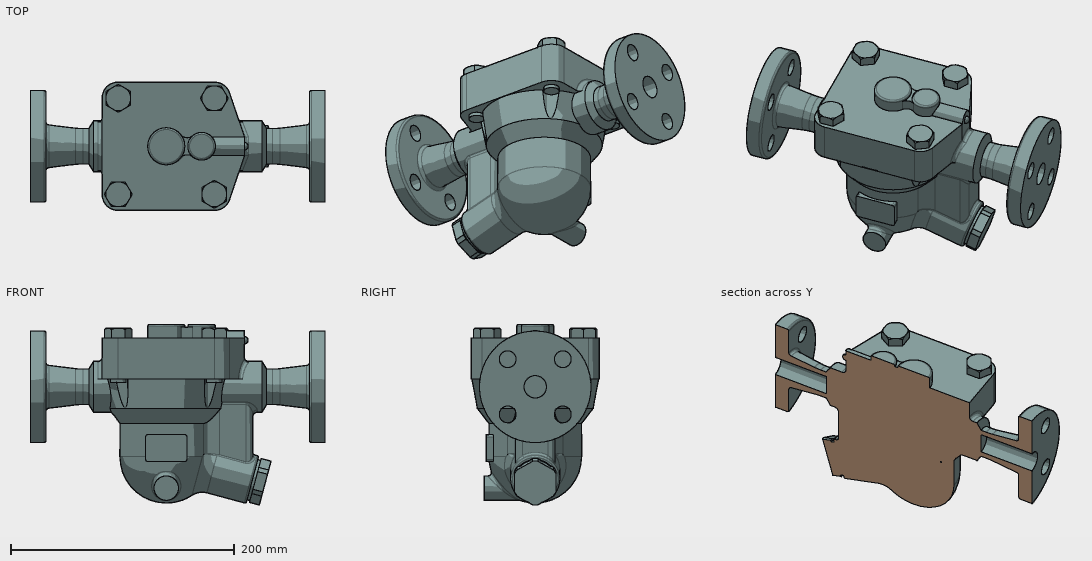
import cadquery as cq
import math

overall_length = 264.0
pipe_mid_x = 10.3

flange_d = 100.0
flange_t = 14.0
flange_edge_r = 1.8
bolt_hole_d = 15.0
bolt_circle_d = 70.0
bore_d = 20.0

neck_d = 32.0
neck_big_r = 19.3
neck_root_r = 2.6
neck_cone_l = 23.8
neck_blend_l = 6.5
neck_cylinder_l = 5.3
neck_blend_rise = 0.4
shoulder_l = 4.2
boss_d = 46.0
boss_root_r = 3.7

cover_half = 57.5
cover_corner_r = 14.3
cover_top = 43.8
body_flange_bottom = 7.0
nose_x = 70.0
nose_half = 9.0

bolt_pitch = 86.0
bolt_head_af = 21.6
bolt_head_h = 8.7
bolt_crown = 1.3
bolt_shank_d = 14.0
bolt_end_l = 3.2
scallop_r = 8.7

cap_d = 33.3
small_cap_d = 24.8
small_cap_x = 31.7
cap_h = 12.1
cap_edge_r = 1.5
web_side_r = 7.5
web_h = 9.8
channel_r = 8.7
channel_h = 6.5
nub_r = 3.5

bowl_top_r = 57.0
bowl_mid_r = 52.0
bowl_mid_z = -19.3
bowl_r = 41.7
bowl_neck_z = -32.7
dome_z = -62.5

branch_d = 44.0
branch_tilt = 15.0
branch_reach = 80.0
branch_edge_r = 1.5
branch_root_r = 16.5
plug_af = 37.5
plug_d = 41.0
plug_neck_l = 2.6
plug_t = 9.2

rib_end_x = 77.5
rib_half = 17.7
rib_corner_r = 6.3
rib_flat_start_x = 47.5
rib_bottom_offset = 8.0
rib_foot_r = 2.5
rib_boss_r = 4.0

pad_w = 37.0
pad_top = -42.8
pad_bottom = -67.0
pad_face_y = -44.0
pad_corner_r = 2.0

drain_d = 22.0
drain_z = -90.8
drain_face_y = -46.0
drain_root_r = 3.2


def make_bowl():
    return (
        cq.Workplane("XZ")
        .moveTo(0, body_flange_bottom)
        .lineTo(bowl_top_r, body_flange_bottom)
        .lineTo(bowl_mid_r, bowl_mid_z)
        .lineTo(bowl_r, bowl_neck_z)
        .lineTo(bowl_r, dome_z)
        .radiusArc((0, dome_z - bowl_r), bowl_r)
        .close()
        .revolve(360, (0, 0), (0, 1))
    )


tilt = math.radians(branch_tilt)
branch_dir = cq.Vector(math.cos(tilt), 0, -math.sin(tilt))


def branch_plane(distance):
    """Workplane square to the branch axis; its local X is the part's Y."""
    centre = cq.Vector(0, 0, dome_z) + branch_dir * distance
    return cq.Workplane(cq.Plane(centre, (0, 1, 0), branch_dir))


def make_branch():
    tube = branch_plane(0).circle(branch_d / 2).extrude(branch_reach)
    tube = tube.faces(">X").edges().fillet(branch_edge_r)

    ring_r = branch_d / 2 + branch_root_r
    ring_at = math.sqrt((bowl_r + branch_root_r) ** 2 - ring_r**2)
    touch = bowl_r / (bowl_r + branch_root_r)
    root = (
        cq.Workplane(cq.Plane((0, 0, dome_z), branch_dir, (0, 1, 0)))
        .moveTo(0, 0)
        .lineTo(ring_at * touch, ring_r * touch)
        .radiusArc((ring_at, branch_d / 2), -branch_root_r)
        .lineTo(ring_at, 0)
        .close()
        .revolve(360, (0, 0), (1, 0))
    )
    return tube.union(root)


def make_plug():
    neck = branch_plane(branch_reach).circle(plug_af / 2).extrude(plug_neck_l)
    head = (
        branch_plane(branch_reach + plug_neck_l)
        .polygon(6, plug_af, circumscribed=True)
        .extrude(plug_t)
    )
    trim = branch_plane(branch_reach + plug_neck_l).circle(plug_d / 2).extrude(plug_t)
    return neck.union(head.intersect(trim))


def make_rib():
    """Vertical rib that flares tangentially out of the bowl."""
    flare_r = (rib_flat_start_x**2 + rib_half**2 - bowl_r**2) / (2 * (bowl_r - rib_half))
    touch = bowl_r / (bowl_r + flare_r)
    touch_x = rib_flat_start_x * touch
    touch_y = (rib_half + flare_r) * touch
    corner_x = rib_end_x - rib_corner_r
    corner_y = rib_half - rib_corner_r
    rib = (
        cq.Workplane("XY")
        .workplane(offset=dome_z - bowl_r)
        .moveTo(0, -touch_y)
        .lineTo(touch_x, -touch_y)
        .radiusArc((rib_flat_start_x, -rib_half), flare_r)
        .lineTo(corner_x, -rib_half)
        .radiusArc((rib_end_x, -corner_y), -rib_corner_r)
        .lineTo(rib_end_x, corner_y)
        .radiusArc((corner_x, rib_half), -rib_corner_r)
        .lineTo(rib_flat_start_x, rib_half)
        .radiusArc((touch_x, touch_y), flare_r)
        .lineTo(0, touch_y)
        .close()
        .extrude(bowl_r - dome_z)
    )
    up = cq.Vector(-branch_dir.z, 0, branch_dir.x)
    low_point = cq.Vector(0, 0, dome_z) + up * rib_bottom_offset
    keep = (
        cq.Workplane(cq.Plane(low_point, branch_dir, up))
        .rect(2 * overall_length, 4 * bowl_r)
        .extrude(overall_length)
    )
    return rib.intersect(keep)


half_length = overall_length / 2
flange_back = half_length - flange_t
neck_start = flange_back - neck_root_r
blend_start = neck_start - neck_cone_l
blend_end = blend_start - neck_blend_l
shoulder_start = blend_end - neck_cylinder_l
boss_end = shoulder_start - shoulder_l
bore_depth = half_length - shoulder_start


def make_pipe_end():
    """Outlet half with the pipe midpoint as origin, reaching back past the bowl axis."""
    neck_r = neck_d / 2
    blend_r = neck_r + neck_blend_rise
    return (
        cq.Workplane("XZ")
        .moveTo(-pipe_mid_x, 0)
        .lineTo(-pipe_mid_x, boss_d / 2)
        .lineTo(boss_end, boss_d / 2)
        .lineTo(shoulder_start, neck_r)
        .lineTo(blend_end, neck_r)
        .tangentArcPoint((blend_start, blend_r), relative=False)
        .lineTo(neck_start, neck_big_r)
        .radiusArc((flange_back, neck_big_r + neck_root_r), -neck_root_r)
        .lineTo(flange_back, flange_d / 2 - flange_edge_r)
        .radiusArc((flange_back + flange_edge_r, flange_d / 2), flange_edge_r)
        .lineTo(half_length, flange_d / 2)
        .lineTo(half_length, 0)
        .close()
        .revolve(360, (0, 0), (1, 0))
    )


def make_end_holes():
    face = cq.Workplane("YZ").workplane(offset=half_length)
    bore = face.circle(bore_d / 2).extrude(-bore_depth)
    bolts = (
        face.polarArray(bolt_circle_d / 2, 45, 360, 4)
        .circle(bolt_hole_d / 2)
        .extrude(-flange_t)
    )
    return bore.union(bolts)


def both_ends(outlet):
    """Add the mirrored inlet and move the pair to its place on the part."""
    return outlet.union(outlet.mirror("YZ")).translate((pipe_mid_x, 0, 0))


def make_flange_block():
    """Cover and body flange share one outline: a rounded square with a tapered nose."""
    centre = cover_half - cover_corner_r
    to_nose = math.hypot(nose_x - centre, nose_half - centre)
    taper = math.atan2(nose_half - centre, nose_x - centre) + math.acos(cover_corner_r / to_nose)
    tangent_x = centre + cover_corner_r * math.cos(taper)
    tangent_y = centre + cover_corner_r * math.sin(taper)
    return (
        cq.Workplane("XY")
        .workplane(offset=body_flange_bottom)
        .moveTo(-centre, -cover_half)
        .lineTo(centre, -cover_half)
        .radiusArc((tangent_x, -tangent_y), -cover_corner_r)
        .lineTo(nose_x, -nose_half)
        .lineTo(nose_x, nose_half)
        .lineTo(tangent_x, tangent_y)
        .radiusArc((centre, cover_half), -cover_corner_r)
        .lineTo(-centre, cover_half)
        .radiusArc((-cover_half, centre), -cover_corner_r)
        .lineTo(-cover_half, -centre)
        .radiusArc((-centre, -cover_half), -cover_corner_r)
        .close()
        .extrude(cover_top - body_flange_bottom)
    )


def make_bolts():
    """Hexagon bolts, each a quarter turn from the last, with shank ends below the flange."""
    corner_d = bolt_head_af / math.cos(math.radians(30))
    head = cq.Workplane("XY").workplane(offset=cover_top).polygon(6, corner_d).extrude(bolt_head_h)
    crown = (
        cq.Workplane("XY")
        .workplane(offset=cover_top)
        .circle(corner_d / 2)
        .extrude(bolt_head_h)
        .faces(">Z")
        .chamfer(bolt_crown)
    )
    shank = (
        cq.Workplane("XY")
        .workplane(offset=body_flange_bottom - bolt_end_l)
        .circle(bolt_shank_d / 2)
        .extrude(cover_top - body_flange_bottom + bolt_end_l)
    )
    bolt = head.intersect(crown).union(shank).translate((bolt_pitch / 2, bolt_pitch / 2, 0))
    return [bolt.rotate((0, 0, 0), (0, 0, 1), 90 * turn) for turn in range(4)]


def make_scallops():
    """Clearance round the shank ends, cut into the flank of the bowl."""
    return (
        cq.Workplane("XY")
        .workplane(offset=body_flange_bottom)
        .rect(bolt_pitch, bolt_pitch, forConstruction=True)
        .vertices()
        .circle(scallop_r)
        .extrude(bowl_neck_z - body_flange_bottom)
    )


def make_cap(x, diameter):
    base = cq.Workplane("XY").workplane(offset=cover_top).center(x, 0)
    cap = base.circle(diameter / 2).extrude(cap_h)
    return cap.faces(">Z").edges().fillet(cap_edge_r)


def make_cap_web():
    """Web between the caps; its hollow sides are arcs tangent to both caps."""
    cap_r = cap_d / 2
    small_r = small_cap_d / 2
    side_x = ((cap_r + web_side_r) ** 2 - (small_r + web_side_r) ** 2 + small_cap_x**2) / (2 * small_cap_x)
    side_y = math.sqrt((cap_r + web_side_r) ** 2 - side_x**2)
    near = cap_r / (cap_r + web_side_r)
    far = small_r / (small_r + web_side_r)
    near_x, near_y = side_x * near, side_y * near
    far_x, far_y = small_cap_x + (side_x - small_cap_x) * far, side_y * far
    return (
        cq.Workplane("XY")
        .workplane(offset=cover_top)
        .moveTo(0, -near_y)
        .lineTo(near_x, -near_y)
        .radiusArc((far_x, -far_y), web_side_r)
        .lineTo(small_cap_x, -far_y)
        .lineTo(small_cap_x, far_y)
        .lineTo(far_x, far_y)
        .radiusArc((near_x, near_y), web_side_r)
        .lineTo(0, near_y)
        .close()
        .extrude(web_h)
    )


def make_cover_top():
    caps = make_cap(0, cap_d).union(make_cap(small_cap_x, small_cap_d))
    channel_z = cover_top + channel_h - channel_r
    channel = (
        cq.Workplane("YZ")
        .workplane(offset=small_cap_x)
        .center(0, channel_z)
        .circle(channel_r)
        .extrude(nose_x - small_cap_x)
    )
    nub = cq.Workplane("XY").sphere(nub_r).translate((nose_x, 0, channel_z))
    return caps.union(make_cap_web()).union(channel).union(nub)


def make_pad():
    pad = (
        cq.Workplane("XY")
        .box(pad_w, -pad_face_y, pad_top - pad_bottom, centered=(True, False, False))
        .translate((0, pad_face_y, pad_bottom))
    )
    return pad.edges("|Y").fillet(pad_corner_r)


def make_drain():
    return (
        cq.Workplane("XZ")
        .workplane(offset=-drain_face_y)
        .center(0, drain_z)
        .circle(drain_d / 2)
        .extrude(drain_face_y)
    )


def round_edges(shape, low, high, radius):
    """Round the edges whose centres lie in the box between two corners."""
    return shape.edges(cq.selectors.BoxSelector(low, high)).fillet(radius)


tol = 0.3
foot_reach = 4.0
boss_r = boss_d / 2

bowl = make_bowl().union(make_drain())
bowl = round_edges(
    bowl,
    (-drain_d, drain_face_y + tol, drain_z - drain_d),
    (drain_d, -tol, drain_z + drain_d),
    drain_root_r,
)
bowl = bowl.cut(make_scallops())

frame = make_flange_block().union(both_ends(make_pipe_end()))
for wall_start, wall_end in ((-cover_half - tol, -cover_half + tol), (cover_half, nose_x + tol)):
    frame = round_edges(
        frame,
        (wall_start, -boss_r, body_flange_bottom + tol),
        (wall_end, boss_r, boss_r),
        boss_root_r,
    )

frame = frame.union(make_rib())
frame = round_edges(frame, (0, -boss_r, -boss_r), (rib_end_x + tol, boss_r, -tol), rib_boss_r)
frame = frame.union(make_branch())
frame = round_edges(
    frame,
    (rib_flat_start_x - foot_reach, -boss_r, dome_z - foot_reach),
    (rib_end_x + tol, boss_r, dome_z + foot_reach),
    rib_foot_r,
)

body = bowl.union(frame).union(make_cover_top()).union(make_pad()).union(make_plug())
for bolt in make_bolts():
    body = body.union(bolt)
result = body.cut(both_ends(make_end_holes()))